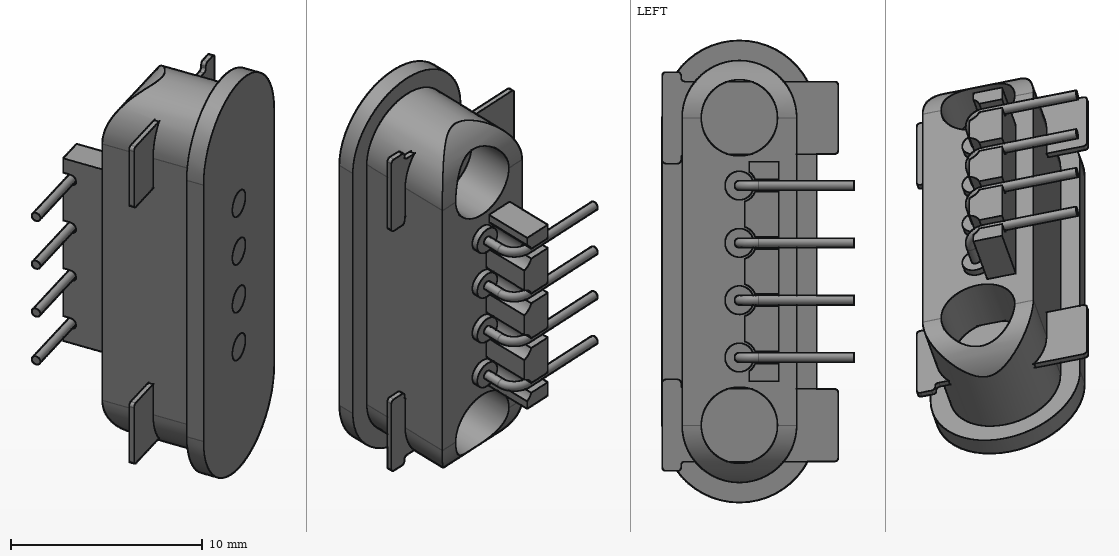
import cadquery as cq


FLANGE_LENGTH = 24.2
END_SPACING = 16.1
FLANGE_WIDTH = FLANGE_LENGTH - END_SPACING
FLANGE_THICKNESS = 1.0
BODY_WIDTH = 6.0
BODY_LENGTH = END_SPACING + BODY_WIDTH
BODY_DEPTH = 6.5
END_ROUND_RADIUS = 3.27

MAGNET_DIAMETER = 4.0
MAGNET_FRONT_WALL = FLANGE_THICKNESS

PIN_COUNT = 4
PIN_PITCH = 3.0
PIN_DIAMETER = 0.5
PIN_BEND_RADIUS = 1.0
PIN_LEG_X = -8.85
PIN_LEG_END_Y = -6.0
BARREL_DIAMETER = 1.5
BARREL_PROTRUSION = 0.36

COMB_DEPTH = 9.3
COMB_LENGTH = 11.47
COMB_OUTER_Y = -2.05
COMB_END_Y = -0.5
COMB_MIDDLE_Y = -0.3
COMB_SLOT_WIDTH = 0.65
BARREL_CLEARANCE_DIAMETER = 1.77

CLIP_BACK_X = -3.8
CLIP_THICKNESS = 0.3
CLIP_HEAD_Y = 4.05
CLIP_SHOULDER_Y = 3.05
CLIP_TIP_Y = -5.18
CLIP_NECK_HEIGHT = 3.8
CLIP_HEAD_HEIGHT = 4.8
CLIP_CORNER_RADIUS = 0.2

PIN_HEIGHTS = [(i - (PIN_COUNT - 1) / 2) * PIN_PITCH for i in range(PIN_COUNT)]
END_HEIGHTS = [-END_SPACING / 2, END_SPACING / 2]


def box_between(x_range, y_range, z_range):
    """Box spanning the given (low, high) range along each axis."""
    spans = [(low, high - low) for low, high in (x_range, y_range, z_range)]
    sizes = [size for _, size in spans]
    corner = tuple(low for low, _ in spans)
    return cq.Workplane("XY").box(*sizes, centered=False).translate(corner)


def rod_along_x(diameter, x_start, x_end, z):
    """Round rod along X, centred on Y = 0."""
    section = cq.Workplane("YZ", origin=(x_start, 0, z)).circle(diameter / 2)
    return section.extrude(x_end - x_start)


def oblong(length, width, depth):
    """Upright oblong block reaching from the mating face towards -X."""
    return cq.Workplane("YZ").slot2D(length, width, 90).extrude(-depth)


def make_rounded_envelope():
    """Block whose XZ outline rounds the back face over both ends."""
    z_end = END_SPACING / 2
    center_x = END_ROUND_RADIUS - BODY_DEPTH
    top_z = z_end + END_ROUND_RADIUS
    diagonal = END_ROUND_RADIUS * 0.5**0.5
    outline = (
        cq.Workplane("XZ")
        .moveTo(0, -top_z)
        .lineTo(center_x, -top_z)
        .threePointArc((center_x - diagonal, -z_end - diagonal), (-BODY_DEPTH, -z_end))
        .lineTo(-BODY_DEPTH, z_end)
        .threePointArc((center_x - diagonal, z_end + diagonal), (center_x, top_z))
        .lineTo(0, top_z)
        .close()
    )
    return outline.extrude(BODY_WIDTH / 2, both=True)


def make_comb():
    """Slotted comb with clearance for the barrels along its inner side."""
    comb_x = (-COMB_DEPTH, -BODY_DEPTH)
    half_length = COMB_LENGTH / 2
    comb = box_between(comb_x, (COMB_OUTER_Y, COMB_END_Y), (-half_length, half_length))
    middle_z = (PIN_HEIGHTS[0], PIN_HEIGHTS[-1])
    comb = comb.union(box_between(comb_x, (COMB_OUTER_Y, COMB_MIDDLE_Y), middle_z))
    half_slot = COMB_SLOT_WIDTH / 2
    for z in PIN_HEIGHTS:
        slot_z = (z - half_slot, z + half_slot)
        slot = box_between((-COMB_DEPTH, PIN_LEG_X), (COMB_OUTER_Y, 0), slot_z)
        slot_end = (
            cq.Workplane("XZ", origin=(PIN_LEG_X, 0, z)).circle(half_slot).extrude(-COMB_OUTER_Y)
        )
        clearance = rod_along_x(BARREL_CLEARANCE_DIAMETER, -COMB_DEPTH, -BODY_DEPTH, z)
        comb = comb.cut(slot).cut(slot_end).cut(clearance)
    return comb


def make_pin(z):
    """Contact: barrel through the housing, then a wire bent from X to -Y."""
    bend_start_x = PIN_LEG_X + PIN_BEND_RADIUS
    bend_center_y = -PIN_BEND_RADIUS
    diagonal = PIN_BEND_RADIUS * 0.5**0.5
    barrel_end_x = -BODY_DEPTH - BARREL_PROTRUSION
    wire_path = (
        cq.Workplane("XY", origin=(0, 0, z))
        .moveTo(barrel_end_x, 0)
        .lineTo(bend_start_x, 0)
        .threePointArc(
            (bend_start_x - diagonal, bend_center_y + diagonal),
            (PIN_LEG_X, bend_center_y),
        )
        .lineTo(PIN_LEG_X, PIN_LEG_END_Y)
    )
    wire = (
        cq.Workplane("YZ", origin=(barrel_end_x, 0, z)).circle(PIN_DIAMETER / 2).sweep(wire_path)
    )
    return rod_along_x(BARREL_DIAMETER, barrel_end_x, 0, z).union(wire)


def make_clip(z):
    """Flat T-shaped clip: its head lies along the +Y side and its neck passes through."""
    clip_x = (CLIP_BACK_X, CLIP_BACK_X + CLIP_THICKNESS)
    half_neck = CLIP_NECK_HEIGHT / 2
    half_head = CLIP_HEAD_HEIGHT / 2
    neck = box_between(clip_x, (CLIP_TIP_Y, CLIP_SHOULDER_Y), (-half_neck, half_neck))
    head = box_between(clip_x, (CLIP_SHOULDER_Y, CLIP_HEAD_Y), (-half_head, half_head))
    return neck.union(head).edges("|X").fillet(CLIP_CORNER_RADIUS).translate((0, 0, z))


def make_magnet(z):
    """Disc between the clip and the wall at the mating face."""
    return rod_along_x(MAGNET_DIAMETER, CLIP_BACK_X + CLIP_THICKNESS, -MAGNET_FRONT_WALL, z)


def make_housing(inserts):
    """Flanged oblong body with the comb, bored for the magnets and the inserts."""
    body = oblong(BODY_LENGTH, BODY_WIDTH, BODY_DEPTH).intersect(make_rounded_envelope())
    flange = oblong(FLANGE_LENGTH, FLANGE_WIDTH, FLANGE_THICKNESS)
    housing = body.union(flange).union(make_comb())
    for z in END_HEIGHTS:
        housing = housing.cut(rod_along_x(MAGNET_DIAMETER, -BODY_DEPTH, -MAGNET_FRONT_WALL, z))
    for insert in inserts:
        housing = housing.cut(insert)
    return housing


pins = [make_pin(z) for z in PIN_HEIGHTS]
clips = [make_clip(z) for z in END_HEIGHTS]
magnets = [make_magnet(z) for z in END_HEIGHTS]
housing = make_housing(pins + clips)

bodies = [housing, *pins, *clips, *magnets]
result = cq.Compound.makeCompound([body.solids().val() for body in bodies])